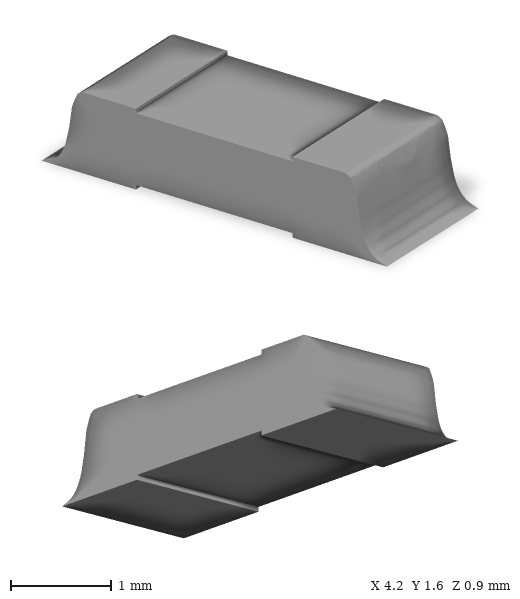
import cadquery as cq

overall_length = 4.2
width = 1.6
height = 0.9

chip_length = 3.2
cap_length = 0.645
cap_end_thickness = 0.145
cap_plate_thickness = 0.05

core_length = chip_length - 2 * cap_end_thickness
core_height = height - 2 * cap_plate_thickness

solder_reach = (overall_length - chip_length) / 2
solder_curve = [
    (solder_reach, 0),
    (0.353, 0.06),
    (0.265, 0.15),
    (0.175, 0.4),
    (0.143, 0.6),
    (0.12, 0.725),
    (0.065, 0.86),
    (0, height),
]
toe_direction = (-3, 1)
top_direction = (-2, 1)


def make_core():
    """Rectangular block, full width, that fills the space inside both caps."""
    return cq.Workplane("XY").box(core_length, width, core_height)


def make_cap(side, core):
    """C-shaped end cap: an end wall with plates above and below the core."""
    centre_x = side * (chip_length - cap_length) / 2
    block = cq.Workplane("XY").box(cap_length, width, height).translate((centre_x, 0, 0))
    return block.cut(core)


def make_solder(side):
    """Concave solder wedge that runs from the board up to the top of a cap."""
    base_z = -height / 2
    cap_face_x = chip_length / 2
    curve_points = [(side * (cap_face_x + out), base_z + up) for out, up in solder_curve]
    tangents = [(side * out, up) for out, up in (toe_direction, top_direction)]
    return (
        cq.Workplane("XZ", origin=(0, width / 2, 0))
        .moveTo(*curve_points[0])
        .spline(curve_points[1:], tangents=tangents, includeCurrent=True)
        .lineTo(side * cap_face_x, base_z)
        .close()
        .extrude(width)
    )


core = make_core()
bodies = [core.val()]
for side in (-1, 1):
    bodies.append(make_cap(side, core).val())
    bodies.append(make_solder(side).val())

result = cq.Compound.makeCompound(bodies)